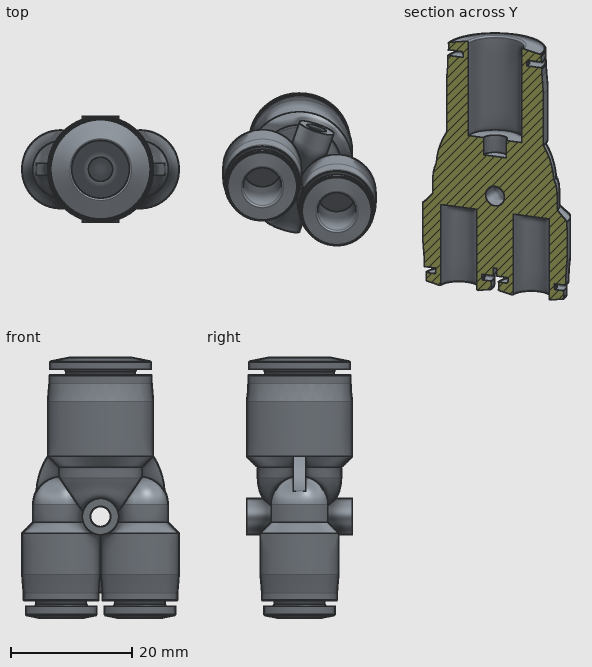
import cadquery as cq
import math

height = 43.1
overall_width = 26.0

large_body_dia = 17.5
large_mouth_dia = 17.0
large_collar_dia = 16.8
large_neck_dia = 11.53
large_bore_dia = 9.53
large_face_drop = 0.62
large_shoulder_z = 26.75
large_dome_z = 23.2
passage_dia = 4.0
passage_depth = 3.0

small_body_dia = overall_width / 2
small_mouth_dia = 12.5
small_collar_dia = 11.8
small_neck_dia = 8.35
small_bore_dia = 6.35
small_face_drop = 0.45
small_shoulder_z = 14.05
small_dome_z = 18.8
branch_offset = (overall_width - small_body_dia) / 2

rim_chamfer = 0.2
collar_end = 2.0
neck_flare = 0.15
neck_flare_end = 2.35
mouth_start = 2.9
mouth_chamfer = 0.12
mouth_end = 4.25
taper_end = 7.26
bore_lip = 0.33
shoulder_drop = 1.8

boss_dia = 6.0
boss_hole_dia = 3.3
boss_length = 17.5
boss_z = 16.8

rib_thickness = 2.0
rib_middle = (10.05, 24.0)
rib_end = (10.62, 20.96)


def socket_outside(body_dia, mouth_dia, collar_dia, neck_dia, bore_dia, face_drop, shoulder, dome):
    """Solid of revolution about Z, open end at z = 0, domed root at the far end.

    face_drop is how far the conical end face falls back from its inner to its outer edge;
    shoulder and dome are the distances of the shoulder and dome centre from the open end.
    """
    body_r = body_dia / 2
    mouth_r = mouth_dia / 2
    collar_r = collar_dia / 2
    neck_r = neck_dia / 2
    root_r = body_r - shoulder_drop
    diagonal = root_r * math.sqrt(0.5)
    profile = (
        cq.Workplane("XZ")
        .moveTo(0, 0)
        .lineTo(bore_dia / 2 + bore_lip, 0)
        .lineTo(collar_r - rim_chamfer, face_drop)
        .lineTo(collar_r, face_drop + rim_chamfer)
        .lineTo(collar_r, collar_end)
        .lineTo(neck_r + neck_flare, collar_end)
        .lineTo(neck_r, neck_flare_end)
        .lineTo(neck_r, mouth_start)
        .lineTo(mouth_r - mouth_chamfer, mouth_start)
        .lineTo(mouth_r, mouth_start + mouth_chamfer)
        .lineTo(mouth_r, mouth_end)
        .lineTo(body_r, taper_end)
        .lineTo(body_r, shoulder)
        .lineTo(root_r, shoulder + shoulder_drop)
        .lineTo(root_r, dome)
        .threePointArc((diagonal, dome + diagonal), (0, dome + root_r))
        .close()
    )
    return profile.revolve(360, (0, 0, 0), (0, 1, 0))


def bore(dia, depth):
    """Tube bore from z = 0 inward, with a rounded lip at the mouth."""
    radius = dia / 2
    lip_middle = bore_lip * (1 - math.sqrt(0.5))
    profile = (
        cq.Workplane("XZ")
        .moveTo(0, 0)
        .lineTo(radius + bore_lip, 0)
        .threePointArc((radius + lip_middle, lip_middle), (radius, bore_lip))
        .lineTo(radius, depth)
        .lineTo(0, depth)
        .close()
    )
    return profile.revolve(360, (0, 0, 0), (0, 1, 0))


def open_upward(shape):
    """Turn a downward socket shape over so its open end lies at the top."""
    return shape.rotate((0, 0, 0), (1, 0, 0), 180).translate((0, 0, height))


def rib(side):
    """Curved rib from the large shoulder down to the small dome on one side."""
    profile = (
        cq.Workplane("XZ")
        .moveTo(0, large_shoulder_z)
        .lineTo(side * large_body_dia / 2, large_shoulder_z)
        .threePointArc((side * rib_middle[0], rib_middle[1]), (side * rib_end[0], rib_end[1]))
        .lineTo(0, rib_end[1])
        .close()
    )
    return profile.extrude(rib_thickness / 2, both=True)


def web():
    """Flat web joining the two small sockets, up to the cross pin boss."""
    web_height = boss_z - mouth_end
    return cq.Workplane("XY").box(
        branch_offset, rib_thickness, web_height, centered=(True, True, False)
    ).translate((0, 0, mouth_end))


def cross_cylinder(dia):
    """Cylinder along Y at the pin position, as long as the boss."""
    return cq.Workplane("XZ").center(0, boss_z).circle(dia / 2).extrude(boss_length / 2, both=True)


large_shoulder = height - large_shoulder_z
result = open_upward(
    socket_outside(
        large_body_dia, large_mouth_dia, large_collar_dia, large_neck_dia,
        large_bore_dia, large_face_drop, large_shoulder, height - large_dome_z,
    )
)
small_socket = socket_outside(
    small_body_dia, small_mouth_dia, small_collar_dia, small_neck_dia,
    small_bore_dia, small_face_drop, small_shoulder_z, small_dome_z,
)
result = result.union(web()).union(cross_cylinder(boss_dia))
for side in (-1, 1):
    result = result.union(small_socket.translate((side * branch_offset, 0, 0)))
    result = result.union(rib(side))

result = result.cut(open_upward(bore(large_bore_dia, large_shoulder)))
result = result.cut(
    cq.Workplane("XY", origin=(0, 0, large_shoulder_z))
    .circle(passage_dia / 2)
    .extrude(-passage_depth)
)
for side in (-1, 1):
    result = result.cut(bore(small_bore_dia, small_shoulder_z).translate((side * branch_offset, 0, 0)))
result = result.cut(cross_cylinder(boss_hole_dia))